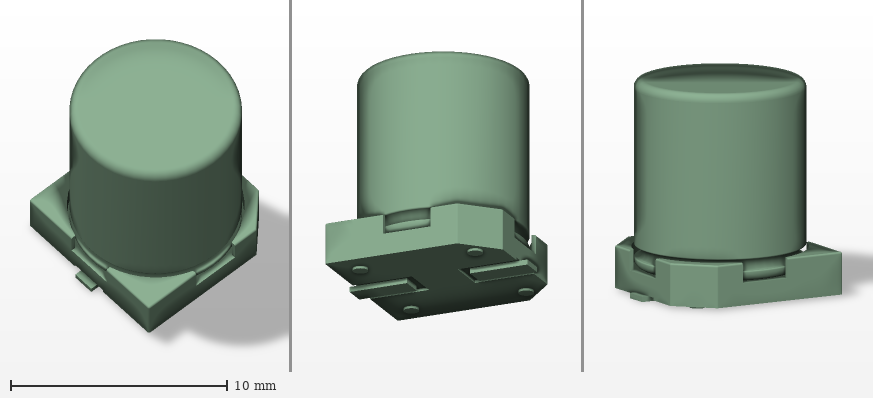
import cadquery as cq

total_height = 10.02
total_depth = 9.0

base_width = 8.3
base_bottom = 0.12
base_top = 2.12
corner_cut = 1.6
edge_round = 0.09

can_radius = 4.0
can_bottom = 1.16
can_round = 0.4
groove_height = 1.94
groove_radius = 0.27
lip_round = 0.07

pocket_radius = 4.11
window_width = 2.4

terminal_width = 1.1
terminal_length = 2.91
terminal_thickness = 0.25
recess_width = 1.96

foot_radius = 0.36
foot_spacing = 5.81


def make_base():
    """Square base with two cut corners, a round can pocket and four side windows."""
    half = base_width / 2
    height = base_top - base_bottom
    base = (
        cq.Workplane("XY", origin=(0, 0, base_bottom))
        .polyline([
            (-half, -half),
            (half, -half),
            (half, half - corner_cut),
            (half - corner_cut, half),
            (corner_cut - half, half),
            (-half, half - corner_cut),
        ])
        .close()
        .extrude(height)
        .edges("|Z or >Z")
        .fillet(edge_round)
    )
    pocket_floor = cq.Workplane("XY", origin=(0, 0, can_bottom))
    pocket_depth = base_top - can_bottom
    base = base.cut(pocket_floor.circle(pocket_radius).extrude(pocket_depth))
    for window_size in ((window_width, base_width), (base_width, window_width)):
        base = base.cut(pocket_floor.rect(*window_size).extrude(pocket_depth))
    return base


def make_can():
    """Turned can with rounded rims and a crimp groove close to its lower end."""
    rim_radius = can_radius - can_round
    lip_radius = can_radius - lip_round
    groove_low = groove_height - groove_radius
    groove_high = groove_height + groove_radius
    profile = (
        cq.Workplane("XZ")
        .moveTo(0, can_bottom)
        .lineTo(rim_radius, can_bottom)
        .radiusArc((can_radius, can_bottom + can_round), -can_round)
        .lineTo(can_radius, groove_low - lip_round)
        .radiusArc((lip_radius, groove_low), -lip_round)
        .threePointArc((lip_radius - groove_radius, groove_height), (lip_radius, groove_high))
        .radiusArc((can_radius, groove_high + lip_round), -lip_round)
        .lineTo(can_radius, total_height - can_round)
        .radiusArc((rim_radius, total_height), -can_round)
        .lineTo(0, total_height)
        .close()
    )
    return profile.revolve(360, (0, 0), (0, 1))


def make_terminals():
    """Two flat terminals reaching out under the -Y and +Y sides."""
    center_y = (total_depth - terminal_length) / 2
    return (
        cq.Workplane("XY")
        .pushPoints([(0, -center_y), (0, center_y)])
        .rect(terminal_width, terminal_length)
        .extrude(terminal_thickness)
    )


def make_recesses():
    """Relief volumes around the terminals, with the same gap at the inner end as beside them."""
    side_gap = (recess_width - terminal_width) / 2
    inner_end = total_depth / 2 - terminal_length - side_gap
    length = total_depth / 2 - inner_end
    center_y = inner_end + length / 2
    return (
        cq.Workplane("XY")
        .pushPoints([(0, -center_y), (0, center_y)])
        .rect(recess_width, length)
        .extrude(terminal_thickness)
    )


def make_feet():
    """Four round standoff feet under the base."""
    return (
        cq.Workplane("XY")
        .rect(foot_spacing, foot_spacing, forConstruction=True)
        .vertices()
        .circle(foot_radius)
        .extrude(base_bottom)
    )


result = (
    make_base()
    .cut(make_recesses())
    .union(make_can())
    .union(make_terminals())
    .union(make_feet())
)